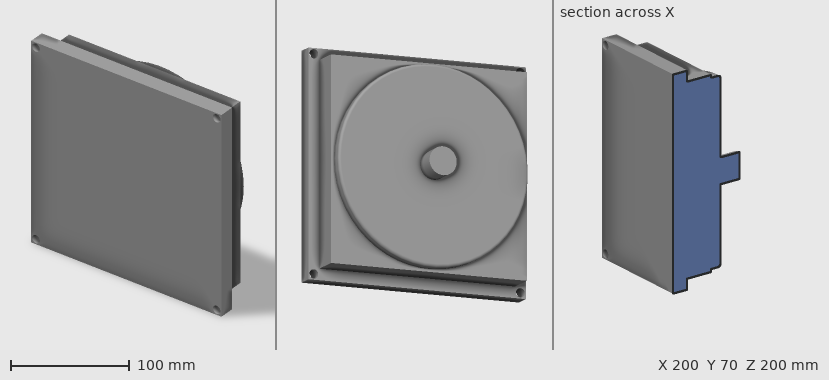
import cadquery as cq

plate_side = 200.0
plate_thickness = 15.0
hole_diameter = 8.0
hole_edge_distance = 5.0

block_side = 180.0
block_depth = 25.0

cover_diameter = 175.0
cover_depth = 10.0
cover_rim_radius = 2.5

stub_diameter = 25.0
stub_length = 20.0

plate_rear = plate_thickness
block_rear = plate_rear + block_depth
cover_rear = block_rear + cover_depth


def plane_at(y):
    """Plane facing +Y at the given distance behind the front face."""
    return cq.Workplane("XZ", origin=(0, y, 0))


def square_slab(side, start, depth):
    return plane_at(start).rect(side, side).extrude(-depth)


def round_slab(diameter, start, depth):
    return plane_at(start).circle(diameter / 2).extrude(-depth)


def make_plate():
    hole_spacing = plate_side - 2 * hole_edge_distance
    holes = (
        plane_at(0)
        .rect(hole_spacing, hole_spacing, forConstruction=True)
        .vertices()
        .circle(hole_diameter / 2)
        .extrude(-plate_thickness)
    )
    return square_slab(plate_side, 0, plate_thickness).cut(holes)


def make_cover():
    cover = round_slab(cover_diameter, block_rear, cover_depth)
    return cover.faces(">Y").edges().fillet(cover_rim_radius)


result = (
    make_plate()
    .union(square_slab(block_side, plate_rear, block_depth))
    .union(make_cover())
    .union(round_slab(stub_diameter, cover_rear, stub_length))
)